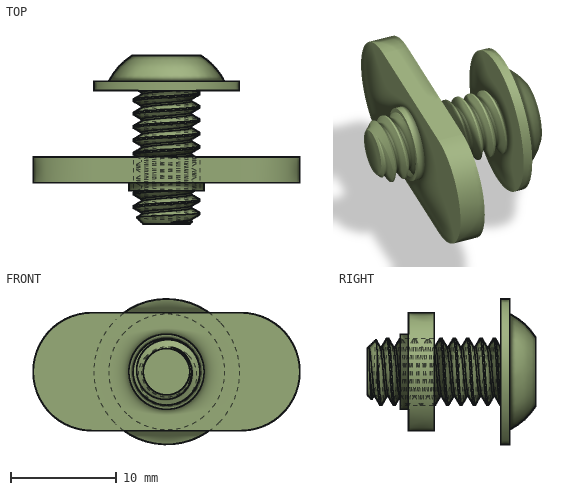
import cadquery as cq
import math


flange_radius = 6.93
flange_thickness = 0.9
dome_base_radius = 5.5
dome_top_radius = 3.25
dome_height = 2.46

shank_length = 12.7
crest_radius = 3.18
root_radius = 2.4
pitch = 1.27
crest_flat = pitch / 8
flank_slope = math.tan(math.radians(30))
crest_depth_at_x = 0.28
tip_radius = 2.2
tip_chamfer = crest_radius - tip_radius

plate_length = 25.4
plate_width = 11.25
plate_thickness = 2.5
plate_depth = 6.3
collar_radius = 3.58
collar_height = 0.75
hole_radius = crest_radius


def plane_below_flange(depth):
    """Plane across the screw axis, facing the tip, at a depth below the flange."""
    return cq.Workplane("XZ", origin=(0, -depth, 0))


def make_head():
    """Flange and spherical dome, revolved about the screw axis."""
    top = flange_thickness + dome_height
    center_offset = (dome_base_radius**2 - dome_top_radius**2 - dome_height**2) / (2 * dome_height)
    sphere_radius = math.hypot(dome_base_radius, center_offset)
    mid_height = dome_height / 2
    mid_radius = math.sqrt(sphere_radius**2 - (center_offset + mid_height) ** 2)
    return (
        cq.Workplane("XY")
        .lineTo(flange_radius, 0)
        .lineTo(flange_radius, flange_thickness)
        .lineTo(dome_base_radius, flange_thickness)
        .threePointArc((mid_radius, flange_thickness + mid_height), (dome_top_radius, top))
        .lineTo(0, top)
        .close()
        .revolve(360, (0, 0, 0), (0, 1, 0))
    )


def make_thread_groove():
    """Helical V groove with a flat root, running out past both ends of the shank."""
    overshoot = 0.08
    cutter_radius = crest_radius + overshoot
    crest_half_width = (pitch - crest_flat) / 2
    cutter_half_width = crest_half_width + overshoot * flank_slope
    root_half_width = crest_half_width - (crest_radius - root_radius) * flank_slope
    start = crest_depth_at_x - pitch / 2 - pitch
    helix = cq.Wire.makeHelix(pitch, shank_length + 3 * pitch, root_radius)
    groove = (
        cq.Workplane("XZ")
        .moveTo(root_radius, -root_half_width)
        .lineTo(cutter_radius, -cutter_half_width)
        .lineTo(cutter_radius, cutter_half_width)
        .lineTo(root_radius, root_half_width)
        .close()
        .sweep(cq.Workplane(obj=helix), isFrenet=True)
    )
    return groove.rotate((0, 0, 0), (1, 0, 0), 90).translate((0, -start, 0))


def make_screw():
    """Threaded shank with a chamfered tip, joined to the head."""
    blank = plane_below_flange(0).circle(crest_radius).extrude(shank_length)
    chamfered_blank = blank.faces("<Y").chamfer(tip_chamfer)
    shank = blank.cut(make_thread_groove()).intersect(chamfered_blank)
    return shank.union(make_head())


def make_plate():
    """Round-ended plate and collar with one bore through both."""
    collar_depth = plate_depth + plate_thickness
    plate = plane_below_flange(plate_depth).slot2D(plate_length, plate_width).extrude(plate_thickness)
    collar = plane_below_flange(collar_depth).circle(collar_radius).extrude(collar_height)
    bore = plane_below_flange(plate_depth).circle(hole_radius).extrude(plate_thickness + collar_height)
    return plate.union(collar).cut(bore)


screw = make_screw()
plate = make_plate()

result = cq.Compound.makeCompound([screw.val(), plate.val()])